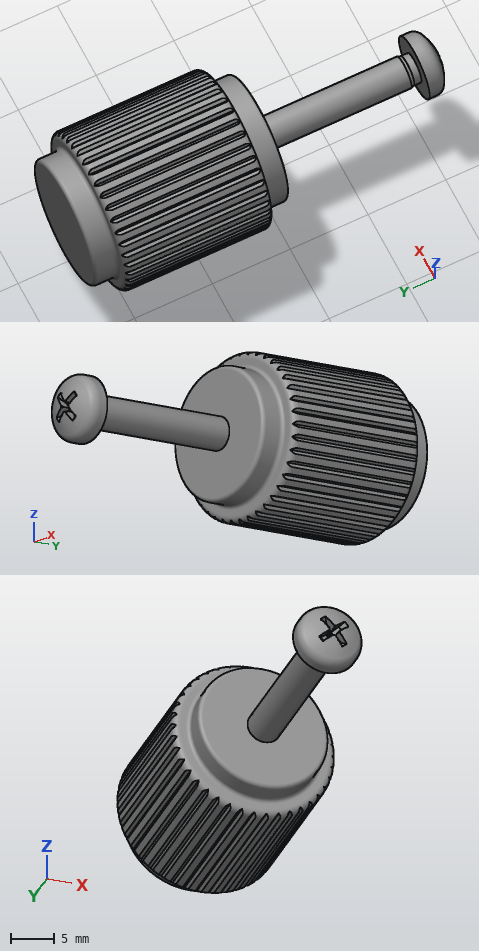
import cadquery as cq
import math


HUB_RADIUS = 8.0
HUB_LENGTH = 25.0
HUB_END_ROUND = 0.5
GRIP_RADIUS = 10.0
GRIP_LENGTH = 19.0
GRIP_END_ROUND = 0.8
GRIP_FOOT_ROUND = 0.5
GRIP_START = (HUB_LENGTH - GRIP_LENGTH) / 2

GROOVE_COUNT = 40
GROOVE_DEPTH = 0.36
GROOVE_WIDTH = 0.7

SHANK_RADIUS = 2.0
SHANK_INSERT = 10.0
SHANK_REACH = 20.0
NECK_RADIUS = 1.87
NECK_LENGTH = 0.9
NECK_TAPER_LENGTH = 0.45
HEAD_RADIUS = 4.0
HEAD_HEIGHT = 3.12
HEAD_DOME_RADIUS = 6.5
HEAD_ROUND = 1.3
HEAD_BASE = -SHANK_REACH
HEAD_TIP = HEAD_BASE - HEAD_HEIGHT

RECESS_ANGLE = 40.0
RECESS_WIDTH = 0.7
RECESS_DEPTH = 1.55
RECESS_REACH = 2.35
SHOULDER_REACH = 1.45
SHOULDER_DEPTH = 1.05
RECESS_CORE_RADIUS = 0.65


def make_groove_cutter():
    """Triangular bar that cuts the groove at the top of the grip."""
    clearance = GROOVE_DEPTH
    half_width = GROOVE_WIDTH / 2 * (GROOVE_DEPTH + clearance) / GROOVE_DEPTH
    outer_height = GRIP_RADIUS + clearance
    return (
        cq.Workplane("XZ", origin=(0, GRIP_START, 0))
        .moveTo(0, GRIP_RADIUS - GROOVE_DEPTH)
        .lineTo(half_width, outer_height)
        .lineTo(-half_width, outer_height)
        .close()
        .extrude(-GRIP_LENGTH)
    )


def make_knob():
    """Hub and knurled grip in one piece, with a blind hole for the shank."""
    grip_end = GRIP_START + GRIP_LENGTH
    half_profile = (
        cq.Workplane("XY")
        .lineTo(HUB_RADIUS - HUB_END_ROUND, 0)
        .radiusArc((HUB_RADIUS, HUB_END_ROUND), -HUB_END_ROUND)
        .lineTo(HUB_RADIUS, GRIP_START - GRIP_FOOT_ROUND)
        .radiusArc((HUB_RADIUS + GRIP_FOOT_ROUND, GRIP_START), GRIP_FOOT_ROUND)
        .lineTo(GRIP_RADIUS - GRIP_END_ROUND, GRIP_START)
        .radiusArc((GRIP_RADIUS, GRIP_START + GRIP_END_ROUND), -GRIP_END_ROUND)
        .lineTo(GRIP_RADIUS, grip_end - GRIP_END_ROUND)
        .radiusArc((GRIP_RADIUS - GRIP_END_ROUND, grip_end), -GRIP_END_ROUND)
        .lineTo(HUB_RADIUS + GRIP_FOOT_ROUND, grip_end)
        .radiusArc((HUB_RADIUS, grip_end + GRIP_FOOT_ROUND), GRIP_FOOT_ROUND)
        .lineTo(HUB_RADIUS, HUB_LENGTH - HUB_END_ROUND)
        .radiusArc((HUB_RADIUS - HUB_END_ROUND, HUB_LENGTH), -HUB_END_ROUND)
        .lineTo(0, HUB_LENGTH)
        .close()
    )
    knob = half_profile.revolve(360, (0, 0, 0), (0, 1, 0))

    groove_cutter = make_groove_cutter()
    for index in range(GROOVE_COUNT):
        turn = index * 360 / GROOVE_COUNT
        knob = knob.cut(groove_cutter.rotate((0, 0, 0), (0, 1, 0), turn))

    shank_hole = cq.Workplane("XZ").circle(SHANK_RADIUS).extrude(-SHANK_INSERT)
    return knob.cut(shank_hole)


def make_recess_cutter():
    """Cross-shaped cutter for the head, deepest along the screw's axis."""
    shoulder = HEAD_TIP + SHOULDER_DEPTH
    bottom = HEAD_TIP + RECESS_DEPTH
    arm_outline = [
        (-RECESS_REACH, HEAD_TIP),
        (RECESS_REACH, HEAD_TIP),
        (SHOULDER_REACH, shoulder),
        (0, bottom),
        (-SHOULDER_REACH, shoulder),
    ]
    arm = cq.Workplane("XY").polyline(arm_outline).close().extrude(RECESS_WIDTH / 2, both=True)
    core_outline = [(0, HEAD_TIP), (RECESS_CORE_RADIUS, HEAD_TIP), (0, bottom)]
    core = cq.Workplane("XY").polyline(core_outline).close().revolve(360, (0, 0, 0), (0, 1, 0))
    crossing_arm = arm.rotate((0, 0, 0), (0, 1, 0), 90)
    cross = arm.union(crossing_arm).union(core)
    return cross.rotate((0, 0, 0), (0, 1, 0), -RECESS_ANGLE)


def make_screw():
    """Shank, tapered neck and pan head in one piece, with a cross recess in the head."""
    neck_end = HEAD_BASE + NECK_LENGTH

    dome_center = HEAD_TIP + HEAD_DOME_RADIUS
    center_distance = HEAD_DOME_RADIUS - HEAD_ROUND
    round_center_radius = HEAD_RADIUS - HEAD_ROUND
    round_center_rise = math.sqrt(center_distance**2 - round_center_radius**2)
    touch_ratio = HEAD_DOME_RADIUS / center_distance
    dome_rim = (round_center_radius * touch_ratio, dome_center - round_center_rise * touch_ratio)

    half_profile = (
        cq.Workplane("XY")
        .moveTo(0, HEAD_TIP)
        .radiusArc(dome_rim, -HEAD_DOME_RADIUS)
        .radiusArc((HEAD_RADIUS, dome_center - round_center_rise), -HEAD_ROUND)
        .lineTo(HEAD_RADIUS, HEAD_BASE)
        .lineTo(NECK_RADIUS, HEAD_BASE)
        .lineTo(NECK_RADIUS, neck_end)
        .lineTo(SHANK_RADIUS, neck_end + NECK_TAPER_LENGTH)
        .lineTo(SHANK_RADIUS, SHANK_INSERT)
        .lineTo(0, SHANK_INSERT)
        .close()
    )
    blank = half_profile.revolve(360, (0, 0, 0), (0, 1, 0))
    return blank.cut(make_recess_cutter())


knob = make_knob()
screw = make_screw()
result = cq.Compound.makeCompound([knob.val(), screw.val()])